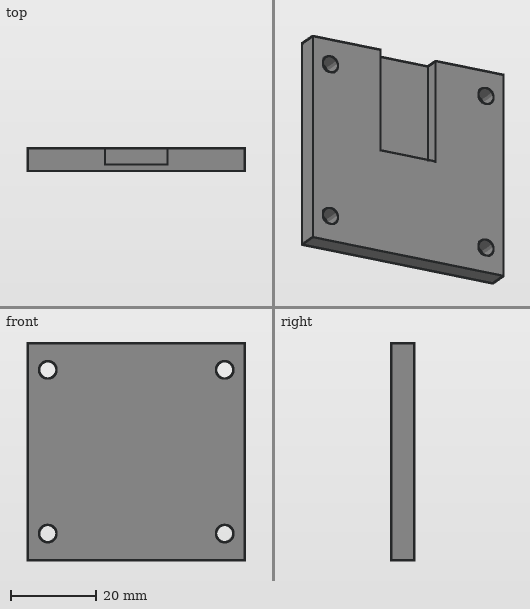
import cadquery as cq

side = 50.8
thickness = 5.4

hole_diameter = 4.0
hole_spacing_x = 41.4
hole_spacing_z = 38.3

channel_width = 14.65
channel_floor = 1.5
channel_length = side / 2


def make_plate():
    return cq.Workplane("XY").box(side, thickness, side)


def make_holes():
    return (
        cq.Workplane("XZ")
        .rect(hole_spacing_x, hole_spacing_z, forConstruction=True)
        .vertices()
        .circle(hole_diameter / 2)
        .extrude(thickness, both=True)
    )


def make_channel():
    channel_depth = thickness - channel_floor
    return cq.Workplane("XY").box(channel_width, channel_depth, channel_length).translate(
        (0, (thickness - channel_depth) / 2, (side - channel_length) / 2)
    )


result = make_plate().cut(make_holes()).cut(make_channel())